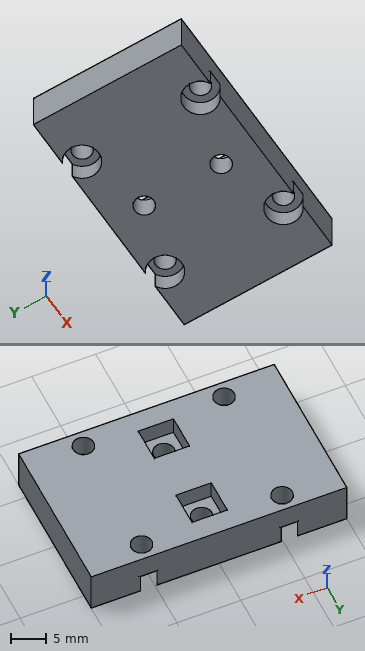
import cadquery as cq

length = 40.0
width = 25.0
thickness = 7.0

hole_diameter = 3.2

corner_spacing_x = 22.0
corner_spacing_y = 20.0
head_diameter = 5.6
head_depth = 3.2

nut_spacing_y = 13.0
nut_side = 5.5
nut_depth = 3.0


def corner_screw_cuts():
    """Through holes with round head recesses cut up from the underside."""
    positions = cq.Workplane("XY").rarray(corner_spacing_x, corner_spacing_y, 2, 2)
    holes = positions.circle(hole_diameter / 2).extrude(thickness)
    recesses = positions.circle(head_diameter / 2).extrude(head_depth)
    return holes.union(recesses)


def nut_cuts():
    """Through holes with square nut pockets cut down from the top."""
    positions = cq.Workplane("XY").rarray(0.4, nut_spacing_y, 1, 2)
    holes = positions.circle(hole_diameter / 2).extrude(thickness)
    pockets = positions.rect(nut_side, nut_side).extrude(nut_depth)
    return holes.union(pockets.translate((0, 0, thickness - nut_depth)))


plate = cq.Workplane("XY").box(length, width, thickness, centered=(True, True, False))
result = plate.cut(corner_screw_cuts()).cut(nut_cuts())